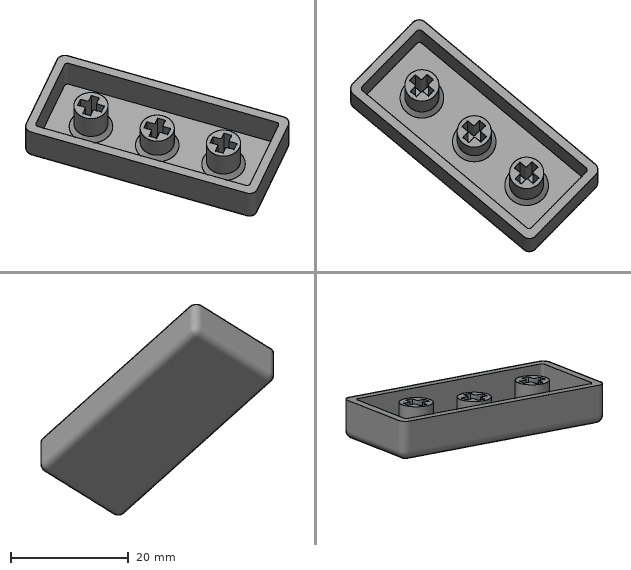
import cadquery as cq

length = 41.86
width = 18.05
height = 6.9
edge_radius = 1.4
wall = 1.55
floor_thickness = 1.4
cavity_corner_radius = 0.6

stem_pitch = 12.0
stem_diameter = 5.8
end_stem_top = height
middle_stem_drop = 1.0
middle_stem_top = end_stem_top - middle_stem_drop
foot_diameter = 7.4
foot_height = (foot_diameter - stem_diameter) / 2

cross_length_x = 4.3
cross_length_y = 4.2
cross_arm_width = 1.4
cross_inner_radius = 0.25


def make_shell():
    body = cq.Workplane("XY").box(length, width, height, centered=(True, True, False))
    body = body.edges("|Z").fillet(edge_radius)
    body = body.faces("<Z").edges().fillet(edge_radius)
    cavity = (
        cq.Workplane("XY")
        .workplane(offset=floor_thickness)
        .rect(length - 2 * wall, width - 2 * wall)
        .extrude(height - floor_thickness)
        .edges("|Z")
        .fillet(cavity_corner_radius)
    )
    return body.cut(cavity)


def make_post(top):
    """Round post with a conical foot, revolved about Z and rising from the floor."""
    stem_radius = stem_diameter / 2
    return (
        cq.Workplane("XZ")
        .moveTo(0, floor_thickness)
        .lineTo(foot_diameter / 2, floor_thickness)
        .lineTo(stem_radius, floor_thickness + foot_height)
        .lineTo(stem_radius, top)
        .lineTo(0, top)
        .close()
        .revolve(360, (0, 0), (0, 1))
    )


def make_socket(top):
    """Cross with its four inner corners rounded."""
    depth = top - floor_thickness
    socket_bottom = cq.Workplane("XY").workplane(offset=floor_thickness)
    bar_x = socket_bottom.rect(cross_length_x, cross_arm_width).extrude(depth)
    bar_y = socket_bottom.rect(cross_arm_width, cross_length_y).extrude(depth)
    inner_corners = cq.selectors.BoxSelector(
        (-cross_arm_width, -cross_arm_width, 0),
        (cross_arm_width, cross_arm_width, height),
    )
    return bar_x.union(bar_y).edges("|Z").edges(inner_corners).fillet(cross_inner_radius)


def make_stem(top):
    return make_post(top).cut(make_socket(top))


stems = (
    (-stem_pitch, end_stem_top),
    (0, middle_stem_top),
    (stem_pitch, end_stem_top),
)

result = make_shell()
for stem_x, stem_top in stems:
    result = result.union(make_stem(stem_top).translate((stem_x, 0, 0)))